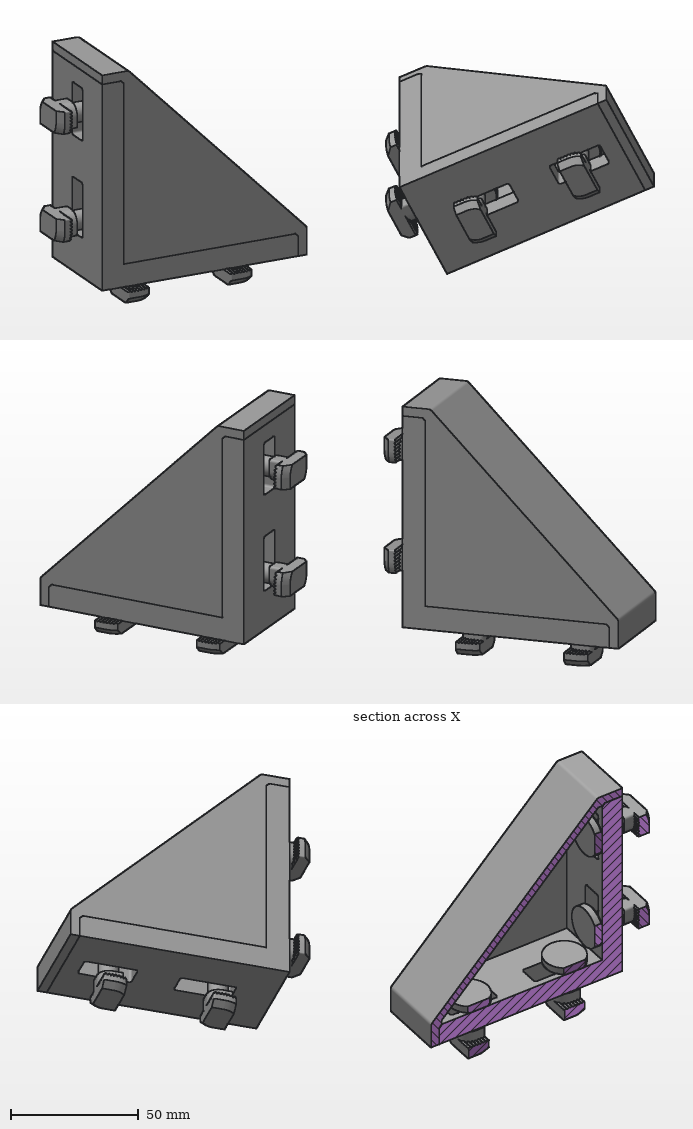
import cadquery as cq
import math

overall_size = 102.8

width = 43.0
plate_thickness = 9.6
plate_length = 86.1
plate_edge_chamfer = 1.2
slot_width = 9.1
slot_spans = [(16.3, 39.4), (56.8, 78.8)]
slot_corner_radius = 1.0

cap_lip = 3.8
cap_size = plate_length + cap_lip
cap_end_flat = 11.6
cap_edge_radius = 2.1
cap_wall = cap_lip
cavity_end = plate_length - plate_edge_chamfer
slope_sum = cap_size + cap_end_flat
cavity_slope_sum = slope_sum - cap_wall * math.sqrt(2)

bolt_positions = [22.5, 67.5]
bolt_diameter = 8.0
head_diameter = 17.8
head_height = 3.6
head_chamfer = 0.5

nut_gap = 2.5
nut_top = -nut_gap
nut_bottom = cap_size - overall_size
nut_side = 9.7
stem_corner_radius = 1.0
tooth_root = -7.7
wing_span = 19.0
wing_corner_radius = 0.5
wing_chamfer = 2.6
tooth_count = 7
tooth_pitch = nut_side / tooth_count
tooth_height = tooth_pitch / 2
bolt_end = -8.6


def side_prism(points):
    """Prism over the full width from an outline of (Y, Z) points, centred on X = 0."""
    return cq.Workplane("YZ").polyline(points).close().extrude(width / 2, both=True)


def floor_to_wall(body):
    """Turn a body built for the floor (axis Z) so that its axis becomes Y."""
    return body.rotate((0, 0, 0), (1, 0, 0), -90)


def make_l_block():
    """L-shaped block without slots, its inner end edges chamfered."""
    block = side_prism([
        (0, 0),
        (plate_length, 0),
        (plate_length, plate_thickness),
        (plate_thickness, plate_thickness),
        (plate_thickness, plate_length),
        (0, plate_length),
    ])
    floor_end = (0, plate_length, plate_thickness)
    wall_end = (0, plate_thickness, plate_length)
    for corner in (floor_end, wall_end):
        block = block.edges(cq.selectors.NearestToPointSelector(corner)).chamfer(plate_edge_chamfer)
    return block


def make_bracket():
    """L-shaped block with the slots cut through both plates."""
    bracket = make_l_block()
    for start, end in slot_spans:
        length = end - start
        middle = (start + end) / 2
        slot = (
            cq.Workplane("XY")
            .box(slot_width, length, plate_thickness)
            .edges("|Z")
            .fillet(slot_corner_radius)
        )
        bracket = bracket.cut(slot.translate((0, middle, plate_thickness / 2)))
        wall_slot = floor_to_wall(slot).translate((0, plate_thickness / 2, middle))
        bracket = bracket.cut(wall_slot)
    return bracket


def make_cap():
    """Hollow wedge that closes the corner and covers the plate ends."""
    wedge = side_prism([
        (0, 0),
        (cap_size, 0),
        (cap_size, cap_end_flat),
        (cap_end_flat, cap_size),
        (0, cap_size),
    ])
    for corner in ((0, cap_size, cap_end_flat), (0, cap_end_flat, cap_size)):
        wedge = wedge.edges(cq.selectors.NearestToPointSelector(corner)).fillet(cap_edge_radius)
    cavity = (
        cq.Workplane("YZ")
        .polyline([
            (plate_thickness, plate_thickness),
            (cavity_end, plate_thickness),
            (cavity_end, cavity_slope_sum - cavity_end),
            (cavity_slope_sum - cavity_end, cavity_end),
            (plate_thickness, cavity_end),
        ])
        .close()
        .extrude(width / 2 - cap_wall, both=True)
    )
    return wedge.cut(make_l_block()).cut(cavity)


def make_bolt():
    """Bolt on the Z axis, its head seated on top of the floor plate."""
    head = (
        cq.Workplane("XY", origin=(0, 0, plate_thickness))
        .circle(head_diameter / 2)
        .extrude(head_height)
        .faces("<Z")
        .chamfer(head_chamfer)
    )
    shank = (
        cq.Workplane("XY", origin=(0, 0, bolt_end))
        .circle(bolt_diameter / 2)
        .extrude(plate_thickness - bolt_end)
    )
    return head.union(shank)


def turning_outline(length, radius, corner_x, bottom):
    """Closed outline of a nut-wide rectangle with two opposite corners rounded about the Z axis.

    corner_x is -1 or +1, the X side of the rounded corner on the -Y half.
    """
    half_length = length / 2
    half_width = nut_side / 2
    arc_end_x = math.sqrt(radius**2 - half_width**2)
    middle_angle = math.atan2(half_width, arc_end_x) / 2
    middle_x = radius * math.cos(middle_angle)
    middle_y = radius * math.sin(middle_angle)
    return (
        cq.Workplane("XY", origin=(0, 0, bottom))
        .moveTo(corner_x * arc_end_x, -half_width)
        .threePointArc((corner_x * middle_x, -middle_y), (corner_x * half_length, 0))
        .lineTo(corner_x * half_length, half_width)
        .lineTo(-corner_x * arc_end_x, half_width)
        .threePointArc((-corner_x * middle_x, middle_y), (-corner_x * half_length, 0))
        .lineTo(-corner_x * half_length, -half_width)
        .close()
    )


def round_square_corners(body, corner_x, corner_y, radius):
    """Round the two upright edges at (corner_x, corner_y) and the point opposite, through the Z axis."""
    middle_z = body.val().BoundingBox().center.z
    for side in (-1, 1):
        corner = (side * corner_x, side * corner_y, middle_z)
        body = body.edges(cq.selectors.NearestToPointSelector(corner)).fillet(radius)
    return body


def make_stem():
    """Square stem, two opposite corners fully rounded and the other two slightly."""
    half_side = nut_side / 2
    stem = turning_outline(nut_side, half_side, 1, tooth_root).extrude(nut_top - tooth_root)
    return round_square_corners(stem, half_side, half_side, stem_corner_radius)


def make_wing():
    """Long wing with chamfered ends, rounded at two opposite corners so that it can turn in a groove."""
    half_span = wing_span / 2
    half_side = nut_side / 2
    height = tooth_root + tooth_height - nut_bottom
    wing = turning_outline(wing_span, half_span, -1, nut_bottom).extrude(height)
    wing = wing.faces("<Z").edges("not |X").chamfer(wing_chamfer)
    wing = round_square_corners(wing, half_span, -half_side, wing_corner_radius)
    return wing.cut(make_tooth_gaps())


def make_tooth_gaps():
    """Row of V-shaped gaps along X that leave pointed teeth on the wing's shoulders."""
    crest = tooth_root + tooth_height
    gap = (
        cq.Workplane("YZ")
        .polyline([(0, tooth_root), (tooth_pitch / 2, crest), (-tooth_pitch / 2, crest)])
        .close()
        .extrude(wing_span, both=True)
    )
    gaps = cq.Workplane("XY")
    for index in range(tooth_count + 1):
        gaps.add(gap.translate((0, index * tooth_pitch - nut_side / 2, 0)))
    return gaps.combine()


def make_nut():
    """Stem and wing in one, with a blind bore that the bolt fills."""
    bore = (
        cq.Workplane("XY", origin=(0, 0, bolt_end))
        .circle(bolt_diameter / 2)
        .extrude(nut_top - bolt_end)
    )
    return make_wing().union(make_stem()).cut(bore)


def place_copies(body):
    """Copies of a body at every bolt position, through the floor and through the wall."""
    copies = []
    for position in bolt_positions:
        copies.append(body.translate((0, position, 0)).val())
        copies.append(floor_to_wall(body).translate((0, 0, position)).val())
    return copies


bracket = make_bracket()
cap = make_cap()
bolts = place_copies(make_bolt())
nuts = place_copies(make_nut())

result = cq.Compound.makeCompound([bracket.val(), cap.val(), *bolts, *nuts])